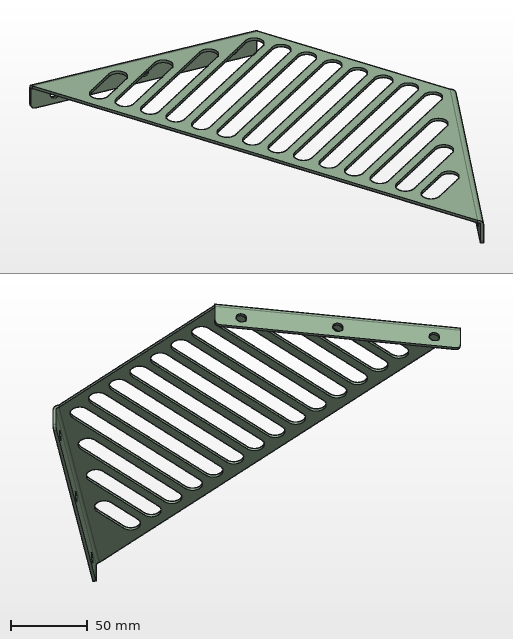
import cadquery as cq
import math

half_width = 169.7
flange_height = 19.0
thickness = 2.0
bend_radius = 4.0
plate_depth = 130.7
slope_run = 94.7

slope_angle = math.degrees(math.atan2(plate_depth, slope_run))
fold_length = math.hypot(plate_depth, slope_run)
front_half_width = half_width - bend_radius * plate_depth / fold_length
back_half_width = front_half_width - slope_run

corner_radius = 3.0
hole_diameter = 6.8
hole_pitch = 63.5
hole_depth_below_top = 11.5

slot_width = 13.0
slots_per_side = 7
outer_slot_spacing = 247.8
slot_pitch = outer_slot_spacing / (2 * slots_per_side - 1)
slot_front = 7.0
long_slot_back = 125.0
outer_slot_back = 44.0
slot_back_step = slot_pitch * plate_depth / slope_run


def make_plate():
    """Flat trapezoid with its top face at Z = 0."""
    outline = [
        (-front_half_width, 0),
        (front_half_width, 0),
        (back_half_width, plate_depth),
        (-back_half_width, plate_depth),
    ]
    return cq.Workplane("XY").polyline(outline).close().extrude(-thickness)


def make_flange():
    """Left flange and its fold, built along local +X and then turned onto the slope."""
    inner_radius = bend_radius - thickness
    diagonal = math.sqrt(0.5)
    flange = (
        cq.Workplane("YZ")
        .moveTo(0, 0)
        .threePointArc(
            (bend_radius * diagonal, bend_radius * (diagonal - 1)),
            (bend_radius, -bend_radius),
        )
        .lineTo(bend_radius, -flange_height)
        .lineTo(inner_radius, -flange_height)
        .lineTo(inner_radius, -bend_radius)
        .threePointArc(
            (inner_radius * diagonal, inner_radius * diagonal - bend_radius),
            (0, -thickness),
        )
        .close()
        .extrude(fold_length)
    )
    flange = flange.faces("<Z").edges("|Y").fillet(corner_radius)
    hole_places = [(fold_length / 2 + i * hole_pitch, -hole_depth_below_top) for i in (-1, 0, 1)]
    holes = (
        cq.Workplane("XZ")
        .pushPoints(hole_places)
        .circle(hole_diameter / 2)
        .extrude(-2 * bend_radius)
    )
    flange = flange.cut(holes)
    return flange.rotate((0, 0, 0), (0, 0, 1), slope_angle).translate((-front_half_width, 0, 0))


def make_slot(x, back):
    """Round-ended cutter from the common front line to the given back end."""
    return (
        cq.Workplane("XY")
        .center(x, (slot_front + back) / 2)
        .slot2D(back - slot_front, slot_width, 90)
        .extrude(-thickness)
    )


left_flange = make_flange()
result = make_plate().union(left_flange).union(left_flange.mirror("YZ"))

for i in range(slots_per_side):
    slot_x = (i + 0.5) * slot_pitch
    steps_from_outer = slots_per_side - 1 - i
    slot_back = min(long_slot_back, outer_slot_back + steps_from_outer * slot_back_step)
    for side in (-1, 1):
        result = result.cut(make_slot(side * slot_x, slot_back))